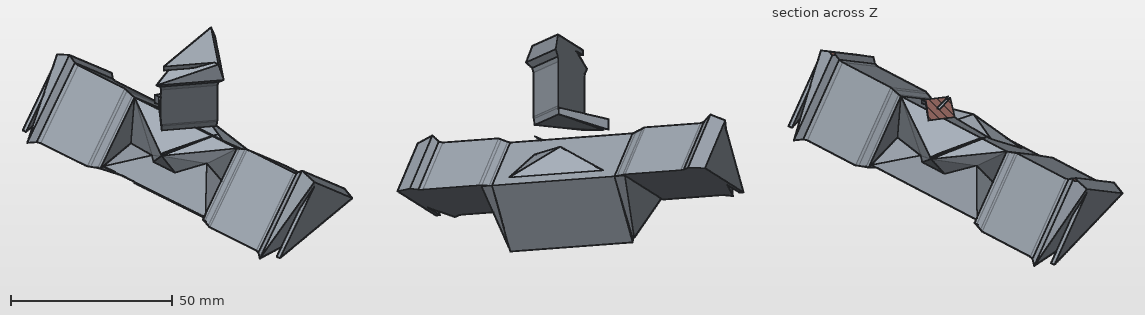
import cadquery as cq

half_length = 50.5
overall_width = 42.9
branch_top = 47.6
run_radius = 17.4
run_front_radius = 16.0
run_half_length = 20.1

bead_radius = overall_width / 2
run_socket_sections = [
    (run_half_length, 17.4),
    (21.0, 17.7),
    (23.1, 18.6),
    (24.0, 19.0),
    (42.3, 19.0),
    (43.5, 19.4),
    (45.7, bead_radius),
]
run_mouth_radius = 19.3
run_lip_radius = 17.5
run_lip_length = 1.3

branch_foot = 22.3
collar_height = 2.1
branch_radius = 12.5
foot_radius = 12.1
branch_socket_sections = [
    (branch_foot, foot_radius),
    (branch_foot + collar_height, 12.4),
    (25.0, branch_radius),
    (39.1, branch_radius),
    (40.5, 12.9),
    (42.4, 14.9),
]
branch_mouth_radius = 12.8
branch_lip_radius = 11.2
branch_lip_length = 1.6

skirt_radius = 12.2
skirt_front_radius = 10.6
skirt_drop = 3.2
skirt_tip_height = 3.3

keel_depth = 16.0
keel_end_top = 23.5
keel_end_bottom = 20.6
keel_step_y = -1.1

front_peak = (0, -12.2, 12.1)
back_peak = (0, 10.6, 12.3)
flap_corner = (12.1, 0, 18.8)
flap_thickness = 0.9
flap_root = (6.1, 0, 14.1)
left_saddle_foot = (-6.1, 7.3)
right_saddle_foot = (12.6, 11.2)
front_saddle_bottom = 6.1

recess_root_y = -1.8


def polyhedron(faces):
    """Solid bounded by flat faces, each given as a loop of points."""
    outlines = [cq.Wire.makePolygon([cq.Vector(*point) for point in face], close=True) for face in faces]
    shell = cq.Shell.makeShell([cq.Face.makeFromWires(outline) for outline in outlines])
    return cq.Workplane(cq.Solid.makeSolid(shell).fix())


def prismatoid(start, end):
    """Solid between two polygons with the same number of corners."""
    count = len(start)
    sides = []
    for i in range(count):
        j = (i + 1) % count
        sides.append([start[i], start[j], end[j], end[i]])
    return polyhedron([start, end] + sides)


def pyramid(base, apex):
    """Solid from a flat polygon to a point."""
    sides = [[base[i - 1], base[i], apex] for i in range(len(base))]
    return polyhedron([base] + sides)


def half_square(height, radius):
    """Half of a square standing on its corner, cut through two opposite corners."""
    return [(0, -radius, height), (radius, 0, height), (0, radius, height)]


def socket(sections, mouth_height, mouth_radius, lip_radius, lip_length):
    """Beaded half socket along +Z whose mouth is open at the front (-Y) of the bead."""
    body = cq.Workplane("XY")
    for (z0, r0), (z1, r1) in zip(sections, sections[1:]):
        body = body.add(prismatoid(half_square(z0, r0), half_square(z1, r1)))
    body = body.combine()

    bead_height, rim_radius = sections[-1]
    bead_middle = [(0, 0, bead_height), (rim_radius, 0, bead_height)]
    mouth_middle = [(0, 0, mouth_height), (mouth_radius, 0, mouth_height)]
    back = prismatoid(
        bead_middle + [(0, rim_radius, bead_height)],
        mouth_middle + [(0, mouth_radius, mouth_height)],
    )
    front = pyramid(bead_middle + mouth_middle[::-1], (0, -rim_radius, bead_height))
    lip = (
        cq.Workplane("XY", origin=(0, 0, mouth_height - lip_length))
        .polyline([(0, 0), (lip_radius, 0), (0, -lip_radius)])
        .close()
        .extrude(lip_length)
    )
    return body.union(back).union(front).union(lip)


def run_socket():
    """Socket turned to point along -X, filling the half above the axis."""
    upright = socket(
        run_socket_sections, half_length, run_mouth_radius, run_lip_radius, run_lip_length
    )
    return upright.rotate((0, 0, 0), (0, 1, 0), -90)


def branch_skirt():
    """Sloping skirt that closes the foot of the branch on its -X side."""
    top = branch_foot + collar_height
    tip_low = branch_foot - skirt_drop
    tip_high = tip_low + skirt_tip_height

    def half(side_y, tip_x):
        low = [(0, 0, branch_foot), (0, side_y, branch_foot), (-tip_x, 0, tip_low)]
        high = [(0, 0, top), (0, side_y, top), (-tip_x, 0, tip_high)]
        sides = [
            [low[0], low[1], high[1], high[0]],
            [low[2], low[0], high[0], high[2]],
            [low[1], low[2], high[2]],
            [low[1], high[2], high[1]],
        ]
        return polyhedron([low, high] + sides)

    underside = pyramid(half_square(branch_foot, foot_radius), (-skirt_front_radius, 0, tip_low))
    skirt = half(skirt_radius, skirt_radius).union(half(-skirt_radius, skirt_front_radius))
    return skirt.union(underside)


def branch_socket():
    upright = socket(
        branch_socket_sections, branch_top, branch_mouth_radius, branch_lip_radius, branch_lip_length
    )
    return upright.union(branch_skirt())


def run_bar():
    """Square bar on its corner, with a step beside its bottom corner."""
    section = [
        (run_radius, 0),
        (0, run_radius),
        (-run_front_radius, 0),
        (keel_step_y, -run_front_radius - keel_step_y),
        (0, -run_radius),
    ]
    return cq.Workplane("YZ").polyline(section).close().extrude(run_half_length, both=True)


def keel_end(side):
    """Bevelled end of the keel; side is -1 or 1 along X."""
    inner_x = side * run_half_length
    top_x = side * keel_end_top
    bottom_x = side * keel_end_bottom
    inner = [(inner_x, -run_radius, 0), (inner_x, run_radius, 0), (inner_x, 0, -keel_depth)]
    outer = [(top_x, -run_radius, 0), (top_x, run_radius, 0), (bottom_x, 0, -keel_depth)]
    return prismatoid(inner, outer)


def on_front_slope(x, z):
    """Point at the given X and Z on the upper front face of the run."""
    return (x, (z - run_radius) * run_front_radius / run_radius, z)


def front_saddle():
    """Raised facets from the front slope of the run up to the front peak."""
    outline = [
        (-run_half_length, run_radius),
        left_saddle_foot,
        (-4.6, front_saddle_bottom),
        (3.8, front_saddle_bottom),
        right_saddle_foot,
        (run_half_length, run_radius),
    ]
    return pyramid([on_front_slope(x, z) for x, z in outline], front_peak)


def end_recess(end_x, saddle_foot):
    """Pointed pocket in the front slope, between a saddle foot and one end of the run."""
    corners = [(end_x, run_radius), (end_x, 0), saddle_foot]
    return pyramid([on_front_slope(x, z) for x, z in corners], (end_x, recess_root_y, 0))


def back_saddle():
    """Raised facets from the back slope of the run up to the back peak."""
    outline = [(-15.5, 14.5), (15.5, 14.5), (10.1, 5.8), (-4.5, 8.6)]
    base = [(x, y, run_radius - y) for x, y in outline]
    return pyramid(base, back_peak)


def saddle_flap():
    """Thin flap from the front peak up to a corner above the ridge."""
    x, y, z = front_peak
    return pyramid([front_peak, (x, y, z + flap_thickness), flap_corner], flap_root)


def run():
    body = run_bar()
    for side in (-1, 1):
        body = body.union(keel_end(side))
    body = body.union(front_saddle()).union(back_saddle()).union(saddle_flap())
    body = body.cut(end_recess(-run_half_length, left_saddle_foot))
    return body.cut(end_recess(run_half_length, right_saddle_foot))


run_body = run()
left_socket = run_socket()
run_sockets = [left_socket, left_socket.mirror("YZ")]
branch = branch_socket()

bodies = [run_body, *run_sockets, branch]
result = cq.Compound.makeCompound([body.solids().val() for body in bodies])